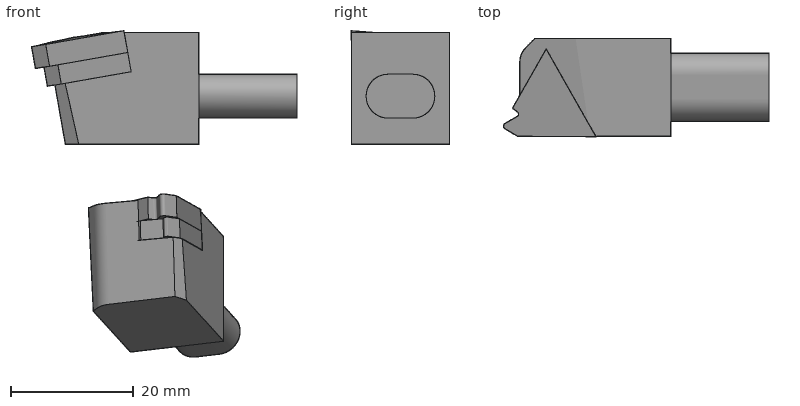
import cadquery as cq
import math


block_width = 16.0
block_height = 18.28
block_blank_length = 30.0

shank_length = 16.0
shank_thickness = 7.17
shank_flat_width = 4.03
shank_width = shank_flat_width + shank_thickness
shank_height = 7.87

rake_angle = 10.0
lead_angle = 1.5

corner_x = -12.24
corner_y = -8.07
corner_z = 18.56

side_length = 16.5
insert_thickness = 3.62
shim_thickness = 3.18
flank_angle = 30.0

insert_flank_start = 12.96
insert_nose_v = 1.67
insert_nose_radius = 0.53
notch_root_u = 12.84
notch_root_width = 0.44
notch_radius = 0.2
notch_end_v = 4.6

shim_flank_start = 11.58
shim_nose_v = 1.58
shim_nose_u = 13.9
shim_nose_radius = 0.15
shim_left_u = 12.85

holder_nose_u = 12.65
holder_flank_start = 11.2
facet_depth = 0.12
far_chamfer_start_u = 10.08
far_chamfer_start_v = 16.05
far_chamfer_size = holder_nose_u - far_chamfer_start_u
far_chamfer_angle = 45.0
far_corner_radius = 3.2

trim_margin = 20.0
pocket_overrun = 1.0

tan_flank = math.tan(math.radians(flank_angle))
triangle_height = side_length * math.sqrt(3) / 2
apex = (-side_length / 2, triangle_height)


def seat_plane(depth=0.0):
    """Plane parallel to the insert's top face, the given depth below it."""
    rake = math.radians(rake_angle)
    lead = math.radians(lead_angle)
    u_axis = cq.Vector(math.cos(rake), -math.sin(rake) * math.sin(lead), math.sin(rake) * math.cos(lead))
    normal = cq.Vector(-math.sin(rake), -math.cos(rake) * math.sin(lead), math.cos(rake) * math.cos(lead))
    origin = cq.Vector(corner_x, corner_y, corner_z) - normal * depth
    return cq.Plane(origin, u_axis, normal)


def side_u(v):
    """Position along u of the triangle's left side at height v."""
    return -side_length + v / math.sqrt(3)


def flank_tip_u(flank_start, nose_v):
    """Sharp nose point, on the nose centreline, of a flank that starts on the front edge."""
    return -flank_start - nose_v / tan_flank


def seat_prism(outline, top_depth, thickness):
    """Prism square to the seat, from top_depth downwards."""
    return cq.Workplane(seat_plane(top_depth)).polyline(outline).close().extrude(-thickness)


def round_edge(body, point, depth, radius):
    """Round the edge square to the seat that passes through the point at the given depth."""
    edge_centre = seat_plane(depth).toWorldCoords(point).toTuple()
    return body.edges(cq.selectors.NearestToPointSelector(edge_centre)).fillet(radius)


def make_insert():
    nose_tip = (flank_tip_u(insert_flank_start, insert_nose_v), insert_nose_v)
    root_bottom_v = insert_nose_v + (-notch_root_u - nose_tip[0]) * tan_flank
    root_bottom = (-notch_root_u, root_bottom_v)
    root_top = (-notch_root_u, root_bottom_v + notch_root_width)
    outline = [
        (0, 0),
        apex,
        (side_u(notch_end_v), notch_end_v),
        root_top,
        root_bottom,
        nose_tip,
        (-insert_flank_start, 0),
    ]
    body = seat_prism(outline, 0, insert_thickness)
    mid_depth = insert_thickness / 2
    for corner in (root_top, root_bottom):
        body = round_edge(body, corner, mid_depth, notch_radius)
    return round_edge(body, nose_tip, mid_depth, insert_nose_radius)


def make_shim():
    tip_u = flank_tip_u(shim_flank_start, shim_nose_v)
    nose_half_width = (-shim_nose_u - tip_u) * tan_flank
    nose_top = (-shim_nose_u, shim_nose_v + nose_half_width)
    nose_bottom = (-shim_nose_u, shim_nose_v - nose_half_width)
    flank_top_v = shim_nose_v + (-shim_left_u - tip_u) * tan_flank
    left_top_v = (side_length - shim_left_u) * math.sqrt(3)
    outline = [
        (0, 0),
        apex,
        (-shim_left_u, left_top_v),
        (-shim_left_u, flank_top_v),
        nose_top,
        nose_bottom,
        (-shim_flank_start, 0),
    ]
    body = seat_prism(outline, insert_thickness, shim_thickness)
    mid_depth = insert_thickness + shim_thickness / 2
    for corner in (nose_top, nose_bottom):
        body = round_edge(body, corner, mid_depth, shim_nose_radius)
    return body


def nose_envelope():
    """Prism square to the seat that bounds the block's nose, chamfers and top facet."""
    flank_v = (holder_nose_u - holder_flank_start) * tan_flank
    far_corner_v = far_chamfer_start_v - far_chamfer_size
    half_turn = math.radians(far_chamfer_angle / 2)
    tangent = far_corner_radius * math.tan(half_turn)
    diagonal = math.cos(math.radians(far_chamfer_angle))
    arc_start = (-holder_nose_u, far_corner_v - tangent)
    arc_middle = (
        -holder_nose_u + far_corner_radius * (1 - math.cos(half_turn)),
        arc_start[1] + far_corner_radius * math.sin(half_turn),
    )
    arc_end = (-holder_nose_u + tangent * diagonal, far_corner_v + tangent * diagonal)
    return (
        cq.Workplane(seat_plane(facet_depth))
        .moveTo(-holder_nose_u, flank_v)
        .lineTo(*arc_start)
        .threePointArc(arc_middle, arc_end)
        .lineTo(-far_chamfer_start_u + trim_margin, far_chamfer_start_v + trim_margin)
        .lineTo(2 * trim_margin, far_chamfer_start_v + trim_margin)
        .lineTo(2 * trim_margin, -trim_margin)
        .lineTo(-holder_flank_start + trim_margin / tan_flank, -trim_margin)
        .close()
        .extrude(-2 * trim_margin)
    )


def seat_pocket():
    """Triangular pocket for insert and shim, open towards -Y and upwards."""
    outline = [
        (0, -pocket_overrun),
        (0, 0),
        apex,
        (-side_length, 0),
        (-side_length, -pocket_overrun),
    ]
    depth = insert_thickness + shim_thickness
    return seat_prism(outline, -pocket_overrun, depth + pocket_overrun)


def make_holder():
    block = cq.Workplane("XY").box(
        block_blank_length, block_width, block_height, centered=(False, True, False)
    ).translate((-block_blank_length, 0, 0))
    shank = (
        cq.Workplane("YZ")
        .center(0, shank_height)
        .slot2D(shank_width, shank_thickness)
        .extrude(shank_length)
    )
    return block.intersect(nose_envelope()).cut(seat_pocket()).union(shank)


holder = make_holder()
insert = make_insert()
shim = make_shim()

result = cq.Compound.makeCompound([holder.val(), insert.val(), shim.val()])